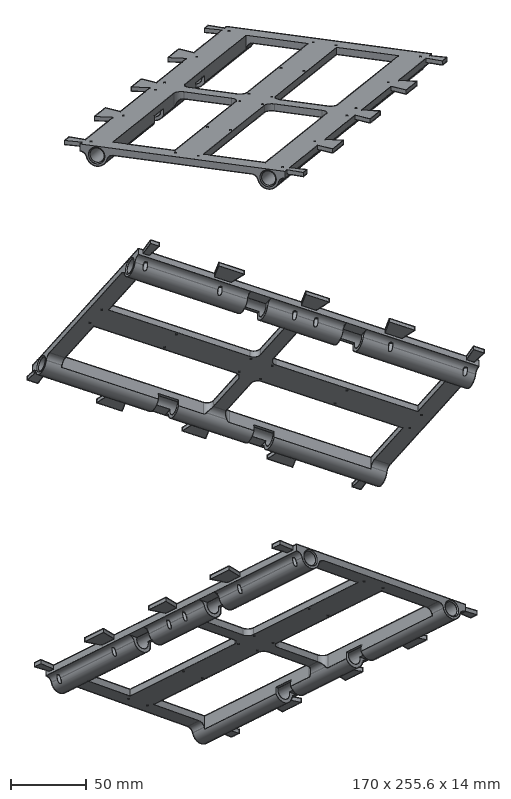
import cadquery as cq
import math

PLATE_WIDTH = 146.0
PLATE_LENGTH = 255.6
PLATE_THICKNESS = 5.0

SPINE_WIDTH = 20.4
CROSS_BAR_WIDTH = 9.6
WINDOW_WIDTH = 44.0
WINDOW_LENGTH = 111.2
WINDOW_RADIUS = 5.0

OVERALL_WIDTH = 170.0
TAB_LENGTH = (OVERALL_WIDTH - PLATE_WIDTH) / 2
TAB_THICKNESS = 3.0
TAB_EMBED = 1.0
DOVETAIL_ANGLE = 15.0
END_TAB_ANGLE = 5.0
TABS = [
    (122.0, 6.6, END_TAB_ANGLE),
    (64.5, 19.2, DOVETAIL_ANGLE),
    (0.0, 17.6, DOVETAIL_ANGLE),
    (-63.5, 19.2, DOVETAIL_ANGLE),
    (-121.1, 8.0, END_TAB_ANGLE),
]

TUBE_X = 61.0
TUBE_RADIUS = 7.5
TUBE_BOTTOM = -14.0
TUBE_Z = TUBE_BOTTOM + TUBE_RADIUS
BORE_RADIUS = 5.0
BORE_CHAMFER = 0.8
TUBE_FILLET = 4.5
TUBE_GAP_START = 28.3
TUBE_GAP_END = 43.4

SPINE_SCREW_X = 8.1
TUBE_SCREW_X = 68.1
SCREW_Y = (8.0, 64.0, 120.0)
SCREW_DIAMETER = 1.2
ACCESS_DIAMETER = 3.0
BOTH_SIDES = (-1, 1)


def box(x_min, x_max, y_min, y_max, z_min, z_max):
    """Axis-aligned box between two corners."""
    size = (x_max - x_min, y_max - y_min, z_max - z_min)
    return cq.Workplane("XY").box(*size, centered=False).translate((x_min, y_min, z_min))


def mirrored_x(body):
    """The body together with its mirror image across the YZ plane."""
    return body.union(body.mirror("YZ"))


def make_plate():
    return box(-PLATE_WIDTH / 2, PLATE_WIDTH / 2, -PLATE_LENGTH / 2, PLATE_LENGTH / 2, -PLATE_THICKNESS, 0)


def make_window():
    """Cutter for the window in the +X, +Y quarter."""
    x_min = SPINE_WIDTH / 2
    y_min = CROSS_BAR_WIDTH / 2
    window = box(x_min, x_min + WINDOW_WIDTH, y_min, y_min + WINDOW_LENGTH, 2 * TUBE_BOTTOM, 0)
    return window.edges("|Z and <Y").fillet(WINDOW_RADIUS)


def make_tab(centre_y, tip_width, flank_angle):
    """One tab on the -X edge, flaring towards its tip."""
    tip_x = -OVERALL_WIDTH / 2
    root_x = tip_x + TAB_LENGTH
    tip_half = tip_width / 2
    root_half = tip_half - TAB_LENGTH * math.tan(math.radians(flank_angle))
    return (
        cq.Workplane("XY")
        .polyline([
            (tip_x, centre_y - tip_half),
            (root_x, centre_y - root_half),
            (root_x + TAB_EMBED, centre_y - root_half),
            (root_x + TAB_EMBED, centre_y + root_half),
            (root_x, centre_y + root_half),
            (tip_x, centre_y + tip_half),
        ])
        .close()
        .extrude(-TAB_THICKNESS)
    )


def make_tube():
    """Solid rail on the +X side: round below, blended into the plate."""
    plate_z = -PLATE_THICKNESS - TUBE_Z
    fillet_z = plate_z - TUBE_FILLET
    fillet_x = math.sqrt((TUBE_RADIUS + TUBE_FILLET) ** 2 - fillet_z ** 2)
    shrink = TUBE_RADIUS / (TUBE_RADIUS + TUBE_FILLET)
    touch_x = fillet_x * shrink
    touch_z = fillet_z * shrink
    touch_angle = math.atan2(touch_z - fillet_z, touch_x - fillet_x)
    mid_angle = (touch_angle + math.pi / 2) / 2
    mid_x = fillet_x + TUBE_FILLET * math.cos(mid_angle)
    mid_z = fillet_z + TUBE_FILLET * math.sin(mid_angle)
    return (
        cq.Workplane("XZ", origin=(TUBE_X, PLATE_LENGTH / 2, TUBE_Z))
        .moveTo(-fillet_x, plate_z)
        .threePointArc((-mid_x, mid_z), (-touch_x, touch_z))
        .threePointArc((0, -TUBE_RADIUS), (touch_x, touch_z))
        .threePointArc((mid_x, mid_z), (fillet_x, plate_z))
        .lineTo(fillet_x, -TUBE_Z)
        .lineTo(-fillet_x, -TUBE_Z)
        .close()
        .extrude(PLATE_LENGTH)
    )


def make_bore():
    """Cutter for the +X rod bore, chamfered at both ends."""
    half = PLATE_LENGTH / 2
    mouth_radius = BORE_RADIUS + BORE_CHAMFER
    return (
        cq.Workplane("XY", origin=(TUBE_X, 0, TUBE_Z))
        .polyline([
            (0, -half),
            (mouth_radius, -half),
            (BORE_RADIUS, -half + BORE_CHAMFER),
            (BORE_RADIUS, half - BORE_CHAMFER),
            (mouth_radius, half),
            (0, half),
        ])
        .close()
        .revolve(360, (0, 0, 0), (0, 1, 0))
    )


def make_tube_gaps():
    """Cutter that interrupts the tubes below the plate."""
    gap = box(-PLATE_WIDTH, PLATE_WIDTH, TUBE_GAP_START, TUBE_GAP_END, 2 * TUBE_BOTTOM, -PLATE_THICKNESS)
    return gap.union(gap.mirror("XZ"))


def holes(x, diameter, top_z):
    """Cutter for the holes at +x and -x, running down from top_z."""
    points = [(sx * x, sy * y) for sx in BOTH_SIDES for sy in BOTH_SIDES for y in SCREW_Y]
    start = cq.Workplane("XY", origin=(0, 0, top_z))
    return start.pushPoints(points).circle(diameter / 2).extrude(2 * TUBE_BOTTOM)


body = make_plate().union(mirrored_x(make_tube()))
for tab in TABS:
    left_tab = make_tab(*tab)
    body = body.union(left_tab).union(left_tab.rotate((0, 0, 0), (0, 0, 1), 180))

windows = mirrored_x(make_window())
body = body.cut(windows).cut(windows.mirror("XZ"))
body = body.cut(make_tube_gaps()).cut(mirrored_x(make_bore()))

for screw_x in (SPINE_SCREW_X, TUBE_SCREW_X):
    body = body.cut(holes(screw_x, SCREW_DIAMETER, 0))
body = body.cut(holes(TUBE_SCREW_X, ACCESS_DIAMETER, -PLATE_THICKNESS))

result = body